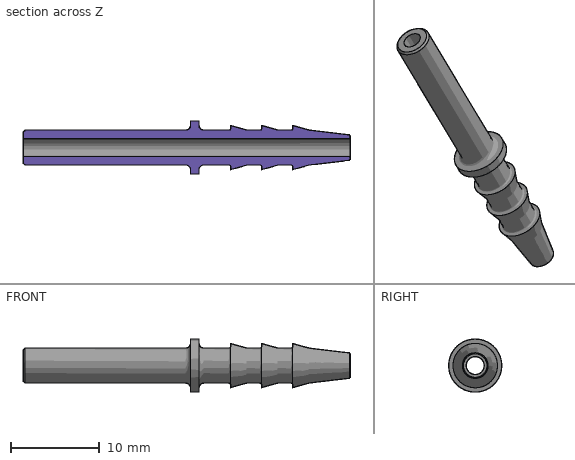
import cadquery as cq
import math

length = 36.8
collar_diameter = 6.0
shaft_radius = 2.0
bore_radius = 1.0
tip_radius = 1.45
end_chamfer = 0.22
tip_chamfer = 0.1

collar_start = 18.8
collar_width = 1.0
collar_fillet = 0.5

barb_radius = 2.5
barb_length = 1.85
barb_count = 3
first_barb_start = 23.33
barb_pitch = 3.5
barb_root_fillet = 0.2

start_x = -length / 2
collar_x = start_x + collar_start
first_barb_x = start_x + first_barb_start
nose_x = first_barb_x + (barb_count - 1) * barb_pitch + barb_length
tip_x = start_x + length


def cylinder(x, radius, width):
    """Solid cylinder along +X, starting at x."""
    return cq.Workplane("YZ", origin=(x, 0, 0)).circle(radius).extrude(width)


def cone(x, start_radius, end_radius, width):
    """Solid frustum along +X, starting at x."""
    profile = [(x, 0), (x, start_radius), (x + width, end_radius), (x + width, 0)]
    return cq.Workplane("XY").polyline(profile).close().revolve(360, (0, 0, 0), (1, 0, 0))


def root_fillet(face_x, radius, direction):
    """Concave ring between the shaft and a face; direction is the side it extends to."""
    end_x = face_x + direction * radius
    diagonal = radius * (1 - math.cos(math.pi / 4))
    return (
        cq.Workplane("XY")
        .moveTo(face_x, 0)
        .lineTo(face_x, shaft_radius + radius)
        .threePointArc((face_x + direction * diagonal, shaft_radius + diagonal), (end_x, shaft_radius))
        .lineTo(end_x, 0)
        .close()
        .revolve(360, (0, 0, 0), (1, 0, 0))
    )


shaft = cylinder(start_x, shaft_radius, nose_x - start_x).faces("<X").chamfer(end_chamfer)

collar = cylinder(collar_x, collar_diameter / 2, collar_width)
collar = collar.union(root_fillet(collar_x, collar_fillet, -1))
collar = collar.union(root_fillet(collar_x + collar_width, collar_fillet, 1))

nose = cone(nose_x, shaft_radius, tip_radius, tip_x - nose_x).faces(">X").chamfer(tip_chamfer)

body = shaft.union(collar).union(nose)

for index in range(barb_count):
    barb_x = first_barb_x + index * barb_pitch
    body = body.union(cone(barb_x, barb_radius, shaft_radius, barb_length))
    body = body.union(root_fillet(barb_x, barb_root_fillet, -1))

result = body.cut(cylinder(start_x, bore_radius, length))